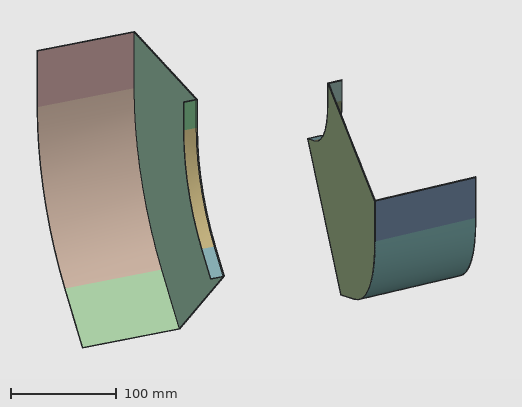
import cadquery as cq
import math

height = 264.0
width = 151.8
bend_angle = math.radians(45)
sheet = 1.0
inner_radius = 149.0
outer_straight = 60.0
outer_flange_depth = 100.0
inner_flange_depth = 14.0

half_tangent = math.tan(bend_angle / 2)
outer_leg = height / (1 + math.cos(bend_angle))
inner_leg = outer_leg - width * half_tangent
outer_radius = (outer_leg - outer_straight) / half_tangent
inner_straight = inner_leg - inner_radius * half_tangent


def edge_points(offset, radius, straight):
    """Return start, arc start, arc middle, arc end and end of one bent edge."""
    def arc_point(angle):
        return (
            offset + radius * (1 - math.cos(angle)),
            -straight - radius * math.sin(angle),
        )

    arc_end = arc_point(bend_angle)
    end = (
        arc_end[0] + straight * math.sin(bend_angle),
        arc_end[1] - straight * math.cos(bend_angle),
    )
    return (offset, 0), arc_point(0), arc_point(bend_angle / 2), arc_end, end


def bent_strip(left_edge, right_edge, depth):
    """Extrude the area between two bent edges from the back face towards -Y."""
    start, arc_start, arc_middle, arc_end, end = left_edge
    far_start, far_arc_start, far_arc_middle, far_arc_end, far_end = right_edge
    return (
        cq.Workplane("XZ")
        .moveTo(*start)
        .lineTo(*arc_start)
        .threePointArc(arc_middle, arc_end)
        .lineTo(*end)
        .lineTo(*far_end)
        .lineTo(*far_arc_end)
        .threePointArc(far_arc_middle, far_arc_start)
        .lineTo(*far_start)
        .close()
        .extrude(depth)
    )


outer_edge = edge_points(0, outer_radius, outer_straight)
outer_edge_inside = edge_points(sheet, outer_radius - sheet, outer_straight)
inner_edge = edge_points(width, inner_radius, inner_straight)
inner_edge_inside = edge_points(width - sheet, inner_radius + sheet, inner_straight)

plate = bent_strip(outer_edge, inner_edge, sheet)
outer_flange = bent_strip(outer_edge, outer_edge_inside, outer_flange_depth)
inner_flange = bent_strip(inner_edge_inside, inner_edge, inner_flange_depth)

result = plate.union(outer_flange).union(inner_flange)